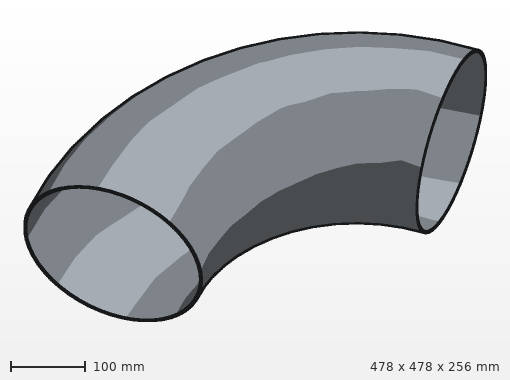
import cadquery as cq

overall_length = 478.0
outer_diameter = 256.0
wall_thickness = 3.0
bend_angle = 90.0

outer_radius = outer_diameter / 2
inner_radius = outer_radius - wall_thickness
bend_radius = overall_length - outer_radius

pipe_section = cq.Workplane("XZ").circle(outer_radius).circle(inner_radius)

axis_start = (bend_radius, 0)
axis_end = (bend_radius, -1)
elbow = pipe_section.revolve(bend_angle, axis_start, axis_end)

result = elbow